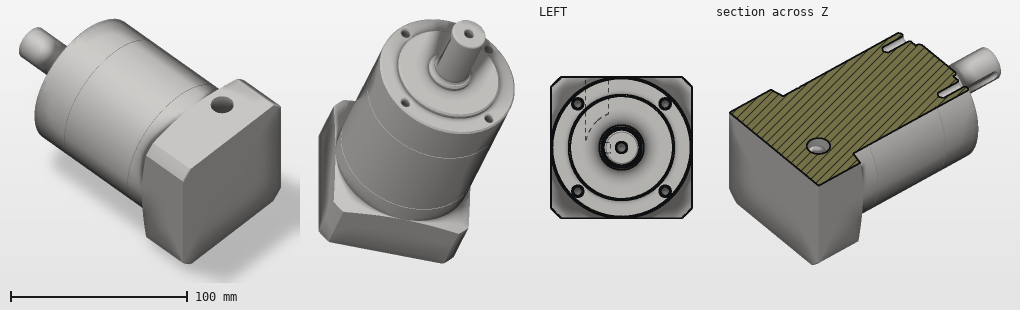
import cadquery as cq
import math


length = 158.5
hub_x = 34.9
pilot_x = 37.9
body_x = 40.9
groove_xs = (65.3, 114.9)
body_end_x = 126.0

shaft_radius = 10.0
shaft_tip_fillet = 1.1
shoulder_rise = 1.0
hub_radius = 12.7
hub_chamfer = 1.1
pilot_radius = 30.0
edge_chamfer = 1.0
groove_width = 0.5
groove_depth = 0.3

flange_side = 80.0
body_radius = flange_side / 2
corner_radius = 52.6
front_cone_angle = 15.0
rear_chamfer = 0.5

access_x = 137.3
access_y = 14.0
access_radius = 6.5
access_floor_radius = 20.6

bolt_offset = 24.7
bolt_depth = 15.8
centre_depth = 15.8
bolt_radius = 2.5
centre_radius = 2.9
mouth_radius = 3.3
drill_tip_angle = 118.0

key_start_x = 3.0
key_end_x = 32.7
key_width = 6.0
key_depth = 3.5


def revolve_about_x(points):
    return cq.Workplane("XY").polyline(points).close().revolve(360, (0, 0, 0), (1, 0, 0))


def turned_step(start_x, end_x, radius, chamfer=0.0):
    """Solid cylinder along X, optionally chamfered at its front edge."""
    step = cq.Workplane("YZ", origin=(start_x, 0, 0)).circle(radius).extrude(end_x - start_x)
    if chamfer:
        step = step.faces("<X").chamfer(chamfer)
    return step


def output_shaft():
    """Shaft with a rounded tip and a 45-degree shoulder leading up to the hub."""
    shaft = turned_step(0, body_x, shaft_radius).faces("<X").edges().fillet(shaft_tip_fillet)
    shoulder_radius = shaft_radius + shoulder_rise
    shoulder_x = hub_x - shoulder_rise
    return shaft.union(turned_step(shoulder_x, body_x, shoulder_radius, shoulder_rise))


def turned_groove(start_x):
    outer = turned_step(start_x, start_x + groove_width, body_radius)
    return outer.cut(turned_step(start_x, start_x + groove_width, body_radius - groove_depth))


def input_flange():
    """Square block trimmed by a turned envelope that cones the front and rounds the corners."""
    cone_length = (corner_radius - body_radius) * math.tan(math.radians(front_cone_angle))
    envelope = revolve_about_x([
        (body_end_x, 0),
        (body_end_x, body_radius),
        (body_end_x + cone_length, corner_radius),
        (length - rear_chamfer, corner_radius),
        (length, corner_radius - rear_chamfer),
        (length, 0),
    ])
    block = cq.Workplane("YZ", origin=(body_end_x, 0, 0)).rect(flange_side, flange_side)
    return block.extrude(length - body_end_x).intersect(envelope)


def access_hole():
    drill = cq.Workplane("XY", origin=(access_x, access_y, 0)).circle(access_radius)
    return drill.extrude(flange_side / 2).cut(turned_step(body_end_x, length, access_floor_radius))


def tapped_hole(start_x, y, z, depth, radius):
    """Blind hole along X with a countersunk mouth and a drill-point bottom."""
    tip_length = radius / math.tan(math.radians(drill_tip_angle / 2))
    hole = revolve_about_x([
        (0, 0),
        (0, mouth_radius),
        (mouth_radius - radius, radius),
        (depth, radius),
        (depth + tip_length, 0),
    ])
    return hole.translate((start_x, y, z))


def keyway():
    slot = cq.Workplane("XZ", origin=((key_start_x + key_end_x) / 2, shaft_radius, 0))
    return slot.slot2D(key_end_x - key_start_x, key_width).extrude(key_depth)


result = output_shaft()
result = result.union(turned_step(hub_x, body_x, hub_radius, hub_chamfer))
result = result.union(turned_step(pilot_x, body_x, pilot_radius, edge_chamfer))
result = result.union(turned_step(body_x, body_end_x, body_radius, edge_chamfer))
result = result.union(input_flange())

for groove_x in groove_xs:
    result = result.cut(turned_groove(groove_x - groove_width / 2))

for bolt_y in (-bolt_offset, bolt_offset):
    for bolt_z in (-bolt_offset, bolt_offset):
        result = result.cut(tapped_hole(body_x, bolt_y, bolt_z, bolt_depth, bolt_radius))
result = result.cut(tapped_hole(0, 0, 0, centre_depth, centre_radius))
result = result.cut(keyway())
result = result.cut(access_hole())